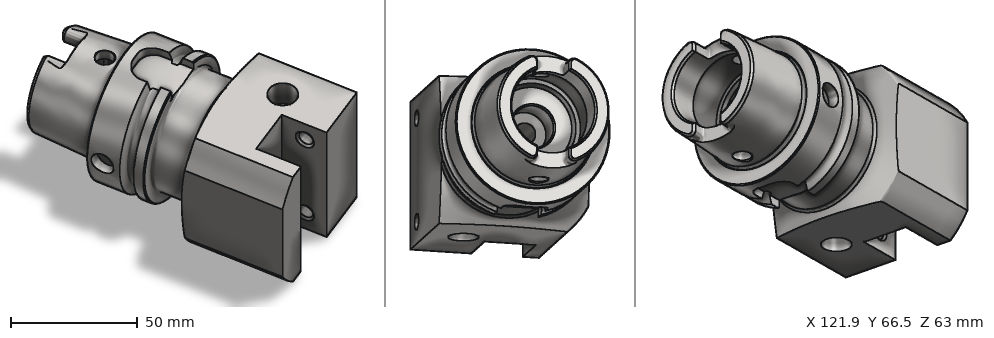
import cadquery as cq
import math

total_length = 121.9
undercut_start = 30.1
flange_start = 31.8
flange_end = 57.8
block_start = 74.1

selection_margin = 0.1

shank_radius = 22.8
undercut_radius = 23.4
undercut_ramp_length = 0.5
undercut_fillet = 1.5
undercut_rim_radius = 25.2
taper_half_angle = math.atan(1 / 20)
tip_chamfer = 1.2
tip_chamfer_height = 0.7

flange_diameter = 63.0
flange_radius = flange_diameter / 2
flange_chamfer = 0.5
groove_floor_start = 48.4
groove_floor_end = 51.5
groove_floor_radius = 27.5
groove_flank_length = 1.6
groove_floor_fillet = 0.9

neck_radius = 26.0
neck_fillet = 1.3

block_half_height = 30.0
block_back_y = neck_radius
block_front_y = -35.0
block_round_radius = 40.0
block_cone_angle = math.radians(15)
block_edge_fillet = 1.0

fork_slot_start = 101.8
fork_slot_back_y = 1.1
fork_slot_width = 21.0

mouth_radius = 17.7
bore_radius = 17.0
bore_chamfer = 1.0
clamp_groove_start = 13.0
clamp_groove_end = 30.5
clamp_groove_radius = 19.0
clamp_groove_angle = math.radians(60)
floor_recess_radius = 15.8
floor_recess_chamfer = 1.3
tube_radius = 8.5
tube_chamfer = 0.6
tube_end = 43.9
feed_radius = 4.3
feed_end = 89.0
drill_half_angle = math.radians(59)

drive_half_width = 6.3
drive_corner_radius = 2.2
drive_floor_fillet = 1.6
drive_corner_z = 18.7
drive_flare_angle = math.radians(12)
drive_top_depth = 10.0
drive_bottom_depth = 6.1

clamp_hole_x = 22.8
clamp_hole_radius = 3.9
clamp_hole_chamfer = 0.4
chip_hole_x = 39.0
chip_hole_radius = 5.0
chip_hole_depth = 4.9

keyway_start = 36.7
keyway_half_width = 9.0
keyway_corner_radius = 7.2
keyway_floor = 26.5

outlet_x = 96.8
outlet_y = 11.0
outlet_radius = 6.1
outlet_floor = 18.3
channel_radius = 1.8
channel_start = cq.Vector(88.4, 0.7, 2.2)
channel_end = cq.Vector(95.8, 10.2, outlet_floor)
screw_x = 112.1
screw_z = 21.0
screw_radius = 3.2
screw_chamfer = 1.0


def revolve_about_x(profile):
    """Turn a profile drawn in (x, radius) about the X axis."""
    return profile.close().revolve(360, (0, 0, 0), (1, 0, 0))


def turned_shank_and_flange():
    """Taper shank, undercut, grooved flange and neck; the neck runs on inside the block."""
    taper_end_radius = shank_radius + (undercut_start - tip_chamfer) * math.tan(taper_half_angle)
    undercut_floor_x = undercut_start + undercut_ramp_length
    undercut_end = (undercut_floor_x + undercut_fillet, undercut_radius + undercut_fillet)
    profile = (
        cq.Workplane("XY")
        .lineTo(0, shank_radius - tip_chamfer_height)
        .lineTo(tip_chamfer, shank_radius)
        .lineTo(undercut_start, taper_end_radius)
        .lineTo(undercut_floor_x, undercut_radius)
        .radiusArc(undercut_end, -undercut_fillet)
        .lineTo(flange_start, undercut_rim_radius)
        .lineTo(flange_start, flange_radius - flange_chamfer)
        .lineTo(flange_start + flange_chamfer, flange_radius)
        .lineTo(groove_floor_start - groove_flank_length, flange_radius)
        .lineTo(groove_floor_start, groove_floor_radius)
        .lineTo(groove_floor_end, groove_floor_radius)
        .lineTo(groove_floor_end + groove_flank_length, flange_radius)
        .lineTo(flange_end - flange_chamfer, flange_radius)
        .lineTo(flange_end, flange_radius - flange_chamfer)
        .lineTo(flange_end, neck_radius + neck_fillet)
        .radiusArc((flange_end + neck_fillet, neck_radius), -neck_fillet)
        .lineTo(fork_slot_start, neck_radius)
        .lineTo(fork_slot_start, 0)
    )
    turned = revolve_about_x(profile)
    reach = groove_floor_radius + selection_margin
    floor_edges = cq.selectors.BoxSelector(
        (groove_floor_start - selection_margin, -reach, -reach),
        (groove_floor_end + selection_margin, reach, reach),
        boundingbox=True)
    return turned.edges(floor_edges).edges("%CIRCLE").fillet(groove_floor_fillet)


def fork_block():
    """Block with a round front side, cut back by a cone that blends into the neck."""
    block_depth = block_back_y - block_front_y
    bar = (
        cq.Workplane("YZ")
        .center((block_back_y + block_front_y) / 2, 0)
        .rect(block_depth, 2 * block_half_height)
        .extrude(total_length)
    )
    blend_turn = math.pi / 2 - block_cone_angle
    rim_reach = block_edge_fillet * math.tan(blend_turn / 2)
    rim_x = block_start + (block_round_radius - neck_radius) * math.tan(block_cone_angle)
    blend_reach = neck_fillet * math.tan(blend_turn / 2)
    envelope = (
        cq.Workplane("XY")
        .moveTo(block_start - blend_reach, 0)
        .lineTo(block_start - blend_reach, neck_radius)
        .radiusArc(
            (block_start + blend_reach * math.sin(block_cone_angle),
             neck_radius + blend_reach * math.cos(block_cone_angle)),
            -neck_fillet)
        .lineTo(rim_x - rim_reach * math.sin(block_cone_angle),
                block_round_radius - rim_reach * math.cos(block_cone_angle))
        .radiusArc((rim_x + rim_reach, block_round_radius), block_edge_fillet)
        .lineTo(total_length, block_round_radius)
        .lineTo(total_length, 0)
    )
    return bar.intersect(revolve_about_x(envelope))


def fork_slot():
    """Slot through the full height of the block, open at its far end."""
    return cq.Workplane("XY").box(
        total_length - fork_slot_start, fork_slot_width, 2 * block_half_height,
        centered=(False, False, True),
    ).translate((fork_slot_start, fork_slot_back_y - fork_slot_width, 0))


def shank_bore():
    """Stepped bore: mouth, clamping groove, coolant tube seat and drilled feed hole."""
    groove_ramp = (clamp_groove_radius - bore_radius) / math.tan(clamp_groove_angle)
    bore_depth = clamp_groove_end + floor_recess_chamfer
    feed_tip = feed_end + feed_radius / math.tan(drill_half_angle)
    profile = (
        cq.Workplane("XY")
        .lineTo(0, mouth_radius)
        .lineTo(bore_chamfer, bore_radius)
        .lineTo(clamp_groove_start, bore_radius)
        .lineTo(clamp_groove_start + groove_ramp, clamp_groove_radius)
        .lineTo(clamp_groove_end, clamp_groove_radius)
        .lineTo(clamp_groove_end, floor_recess_radius + floor_recess_chamfer)
        .lineTo(bore_depth, floor_recess_radius)
        .lineTo(bore_depth, tube_radius + tube_chamfer)
        .lineTo(bore_depth + tube_chamfer, tube_radius)
        .lineTo(tube_end, tube_radius)
        .lineTo(tube_end, feed_radius)
        .lineTo(feed_end, feed_radius)
        .lineTo(feed_tip, 0)
    )
    return revolve_about_x(profile)


def driving_slot(depth):
    """Slot in the top of the tip whose walls round over into the outside of the shank."""
    arc_end_y = drive_half_width + drive_corner_radius * (1 + math.sin(drive_flare_angle))
    arc_end_z = drive_corner_z + drive_corner_radius * math.cos(drive_flare_angle)
    rim_y = flange_radius / 2
    rim_z = arc_end_z - (rim_y - arc_end_y) * math.tan(drive_flare_angle)
    section = (
        cq.Workplane("YZ", origin=(tip_chamfer, 0, 0))
        .moveTo(-drive_half_width, 0)
        .lineTo(drive_half_width, 0)
        .lineTo(drive_half_width, drive_corner_z)
        .radiusArc((arc_end_y, arc_end_z), drive_corner_radius)
        .lineTo(rim_y, rim_z)
        .lineTo(rim_y, flange_radius)
        .lineTo(-rim_y, flange_radius)
        .lineTo(-rim_y, rim_z)
        .lineTo(-arc_end_y, arc_end_z)
        .radiusArc((-drive_half_width, drive_corner_z), drive_corner_radius)
        .close()
    )
    slot = section.extrude(depth - tip_chamfer, combine=False)
    slot = slot.faces(">X").edges().fillet(drive_floor_fillet)
    widening = math.degrees(math.atan(tip_chamfer_height / tip_chamfer))
    return slot.union(section.toPending().extrude(-tip_chamfer, taper=-widening))


def clamp_access_hole():
    """Hole through the top wall of the shank, chamfered where it leaves the taper."""
    surface_z = shank_radius + (clamp_hole_x - tip_chamfer) * math.tan(taper_half_angle)
    hole = cq.Workplane("XY").circle(clamp_hole_radius).extrude(flange_radius)
    countersink = cq.Solid.makeCone(
        clamp_hole_radius, clamp_hole_radius + 2 * clamp_hole_chamfer, 2 * clamp_hole_chamfer,
        pnt=cq.Vector(0, 0, surface_z - clamp_hole_chamfer), dir=cq.Vector(0, 0, 1))
    return hole.union(cq.Workplane(countersink)).translate((clamp_hole_x, 0, 0))


def chip_hole():
    """Flat-bottomed hole for the data chip, in the front side of the flange."""
    return (
        cq.Workplane("XZ", origin=(chip_hole_x, chip_hole_depth - flange_radius, 0))
        .circle(chip_hole_radius)
        .extrude(flange_radius)
    )


def keyway():
    """Flat-floored keyway in the top of the flange, open towards the neck."""
    return (
        cq.Workplane("XY", origin=(keyway_start, 0, keyway_floor))
        .box(
            flange_end + neck_fillet - keyway_start, 2 * keyway_half_width,
            flange_radius - keyway_floor, centered=(False, True, False))
        .edges("|Z and <X")
        .fillet(keyway_corner_radius)
    )


def coolant_outlet():
    """Flat-bottomed hole in the top of the block, fed by a slanted channel from the feed hole."""
    outlet = (
        cq.Workplane("XY", origin=(outlet_x, outlet_y, outlet_floor))
        .circle(outlet_radius)
        .extrude(block_half_height - outlet_floor)
    )
    channel_path = channel_end - channel_start
    channel = cq.Solid.makeCylinder(
        channel_radius, channel_path.Length + channel_radius,
        pnt=channel_start, dir=channel_path)
    return outlet.union(cq.Workplane(channel))


def screw_hole():
    """Clamping screw hole from the fork slot to the back side, chamfered at the slot."""
    profile = (
        cq.Workplane("XY")
        .moveTo(0, fork_slot_back_y)
        .lineTo(screw_radius + screw_chamfer, fork_slot_back_y)
        .lineTo(screw_radius, fork_slot_back_y + screw_chamfer)
        .lineTo(screw_radius, block_back_y)
        .lineTo(0, block_back_y)
        .close()
    )
    return profile.revolve(360, (0, 0, 0), (0, 1, 0)).translate((screw_x, 0, screw_z))


def top_and_bottom(cutter):
    """The cutter together with its mirror image below the XY plane."""
    return cutter.union(cutter.mirror("XY"))


result = turned_shank_and_flange().union(fork_block())
result = result.cut(fork_slot()).cut(shank_bore())
result = result.cut(driving_slot(drive_top_depth))
result = result.cut(driving_slot(drive_bottom_depth).mirror("XY"))
result = result.cut(chip_hole())
for cutter in (clamp_access_hole(), keyway(), coolant_outlet(), screw_hole()):
    result = result.cut(top_and_bottom(cutter))